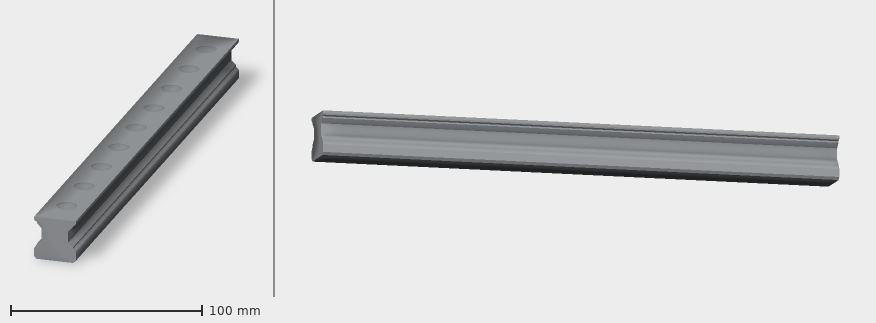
import cadquery as cq

length = 280
width = 23.0
height = 23.5

half_width = width / 2
shoulder_half_width = 9.8
web_half_width = 7.3

bottom_chamfer = 1.5
edge_break_width = 0.3
edge_break_height = 0.8

base_top = 6.5
lower_shoulder_bottom = 7.8
lower_shoulder_top = 8.7
web_bottom = 11.2
web_top = 17.5
upper_shoulder_bottom = 20.0

lip_edge_thickness = 2.2
lip_root_thickness = 2.8

seat_count = 9
seat_pitch = 30.0
seat_diameter = 11.0
seat_depth = 0.3


def rail_body():
    """Extrude the symmetric cross-section along Y, centred on the origin."""
    right_side = [
        (half_width - bottom_chamfer, 0),
        (half_width, bottom_chamfer),
        (half_width, base_top - edge_break_height),
        (half_width - edge_break_width, base_top),
        (shoulder_half_width, lower_shoulder_bottom),
        (shoulder_half_width, lower_shoulder_top),
        (web_half_width, web_bottom),
        (web_half_width, web_top),
        (shoulder_half_width, upper_shoulder_bottom),
        (shoulder_half_width, height - lip_root_thickness),
        (half_width - edge_break_width, height - lip_edge_thickness),
        (half_width, height - lip_edge_thickness + edge_break_height),
        (half_width, height),
    ]
    left_side = [(-x, z) for x, z in reversed(right_side)]
    section = cq.Workplane("XZ").polyline(right_side + left_side).close()
    return section.extrude(length / 2, both=True)


def cap_seats():
    """Shallow discs, evenly spaced and centred along the rail."""
    return (
        cq.Workplane("XY", origin=(0, 0, height - seat_depth))
        .rarray(2.8, seat_pitch, 1, seat_count)
        .circle(seat_diameter / 2)
        .extrude(seat_depth)
    )


result = rail_body().cut(cap_seats())